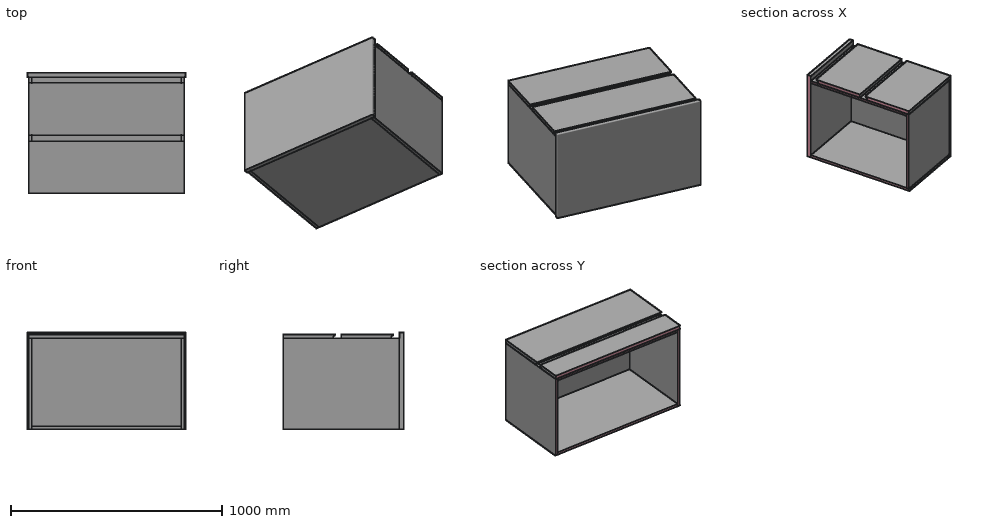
import cadquery as cq

TOP_WIDTH = 750.0
TOTAL_DEPTH = 572.0
TOTAL_HEIGHT = 460.0
TOP_THICKNESS = 22.0
TOP_ROUNDING = 3.0
TOP_OVERHANG = 6.0
TOP_LIP = 9.0

BOARD = 16.0
FRONT_THICKNESS = 18.0
GRIP_GAP = 28.0
GRIP_LAND = 2.0
GRIP_BEVEL = 10.0

CABINET_WIDTH = TOP_WIDTH - 2 * TOP_OVERHANG
CABINET_LENGTH = TOTAL_DEPTH - TOP_THICKNESS
CARCASS_HEIGHT = TOTAL_HEIGHT - TOP_LIP - FRONT_THICKNESS
INNER_WIDTH = CABINET_WIDTH - 2 * BOARD
FRONT_LENGTH = CABINET_LENGTH / 2 - GRIP_GAP


def box(width, length, height, x, y, z):
    """Box centred across X at x, starting at y and z."""
    return cq.Workplane("XY").box(width, length, height, centered=(True, False, False)).translate((x, y, z))


def make_countertop():
    slab = box(TOP_WIDTH, TOP_THICKNESS, TOTAL_HEIGHT, 0, CABINET_LENGTH, 0)
    return slab.edges("|Y or >Y").edges("not <Z").fillet(TOP_ROUNDING)


def make_side_panel(side):
    x = side * (CABINET_WIDTH - BOARD) / 2
    return box(BOARD, CABINET_LENGTH, CARCASS_HEIGHT, x, 0, 0)


def make_back_panel():
    return box(INNER_WIDTH, CABINET_LENGTH, BOARD, 0, 0, 0)


def make_bottom_panel():
    return box(INNER_WIDTH, BOARD, CARCASS_HEIGHT - BOARD, 0, 0, BOARD)


def make_inner_panel():
    """Panel under the drawer fronts, closing both grip gaps."""
    return box(INNER_WIDTH, CABINET_LENGTH - BOARD, BOARD, 0, BOARD, CARCASS_HEIGHT - BOARD)


def make_drawer_front(y):
    """Drawer front whose +Y edge slopes back underneath as a finger grip."""
    profile = [
        (0, 0),
        (FRONT_LENGTH - GRIP_BEVEL, 0),
        (FRONT_LENGTH - GRIP_BEVEL, FRONT_THICKNESS - GRIP_LAND - GRIP_BEVEL),
        (FRONT_LENGTH, FRONT_THICKNESS - GRIP_LAND),
        (FRONT_LENGTH, FRONT_THICKNESS),
        (0, FRONT_THICKNESS),
    ]
    front = cq.Workplane("YZ").polyline(profile).close().extrude(CABINET_WIDTH / 2, both=True)
    return front.translate((0, y, CARCASS_HEIGHT))


countertop = make_countertop()
side_panels = [make_side_panel(side) for side in (-1, 1)]
back_panel = make_back_panel()
bottom_panel = make_bottom_panel()
inner_panel = make_inner_panel()
drawer_fronts = [make_drawer_front(row * CABINET_LENGTH / 2) for row in range(2)]

result = cq.Compound.makeCompound([
    countertop.val(),
    *[panel.val() for panel in side_panels],
    back_panel.val(),
    bottom_panel.val(),
    inner_panel.val(),
    *[front.val() for front in drawer_fronts],
])